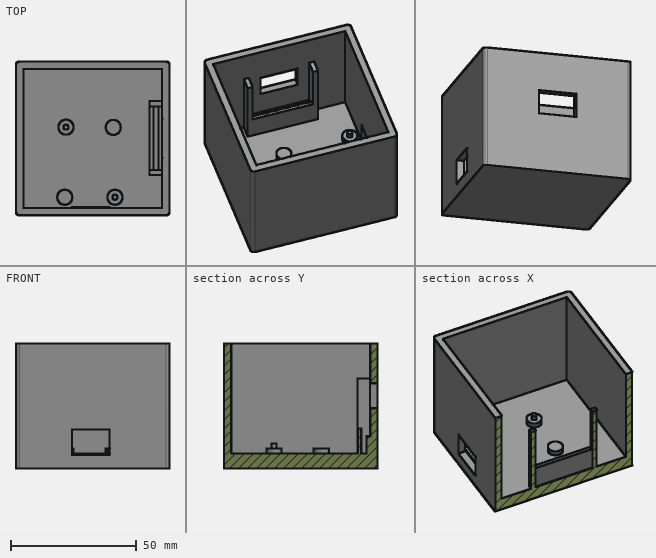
import cadquery as cq

side = 61.5
height = 50.0
wall = 3.0
floor = 6.0
corner_radius = 1.5
inner_half = side / 2 - wall

port_width = 15.0
port_height = 10.0
port_center_x = -0.75
port_bottom = 5.5
port_floor_bite = 0.35

window_width = 15.5
window_bottom = 24.2
window_height = 9.85

standoff_diameter = 6.0
standoff_height = 2.0
pin_diameter = 2.0
pin_height = 2.0
standoffs = [
    (-10.7, 4.5, True),
    (8.2, 4.4, False),
    (-11.2, -23.5, False),
    (8.85, -23.5, True),
]

holder_depth = 5.05
post_top = 36.0
upper_post_outer_y = 14.9
upper_post_inner_y = 12.8
lower_post_inner_y = -12.55
lower_post_outer_y = -14.7
lip_thickness = 1.55
lip_top = 16.0
groove_width = 1.95
ledge_top = 13.0
holder_face = inner_half - holder_depth
groove_start = holder_face + lip_thickness
groove_end = groove_start + groove_width


def block(x_range, y_range, z_range):
    """Axis-aligned box between the given limits."""
    (x0, x1), (y0, y1), (z0, z1) = x_range, y_range, z_range
    return cq.Workplane("XY").box(x1 - x0, y1 - y0, z1 - z0, centered=False).translate((x0, y0, z0))


def make_shell():
    body = cq.Workplane("XY").box(side, side, height, centered=(True, True, False))
    body = body.edges("|Z").fillet(corner_radius)
    inner = (-inner_half, inner_half)
    return body.cut(block(inner, inner, (floor, height)))


def make_port():
    return block(
        (port_center_x - port_width / 2, port_center_x + port_width / 2),
        (-side / 2, -inner_half + port_floor_bite),
        (port_bottom, port_bottom + port_height),
    )


def make_window():
    return block(
        (inner_half, side / 2),
        (-window_width / 2, window_width / 2),
        (window_bottom, window_bottom + window_height),
    )


def make_standoff(x, y, has_pin):
    base = cq.Workplane("XY", origin=(x, y, floor))
    standoff = base.circle(standoff_diameter / 2).extrude(standoff_height)
    if has_pin:
        standoff = standoff.union(base.circle(pin_diameter / 2).extrude(standoff_height + pin_height))
    return standoff


def make_holder():
    full_depth = (holder_face, inner_half)
    between_posts = (lower_post_inner_y, upper_post_inner_y)
    upper_post = block(full_depth, (upper_post_inner_y, upper_post_outer_y), (floor, post_top))
    lower_post = block(full_depth, (lower_post_outer_y, lower_post_inner_y), (floor, post_top))
    lip = block((holder_face, groove_start), between_posts, (floor, lip_top))
    ledge = block((groove_end, inner_half), between_posts, (floor, ledge_top))
    return upper_post.union(lower_post).union(lip).union(ledge)


result = make_shell().cut(make_port()).cut(make_window())
for x, y, has_pin in standoffs:
    result = result.union(make_standoff(x, y, has_pin))
result = result.union(make_holder())